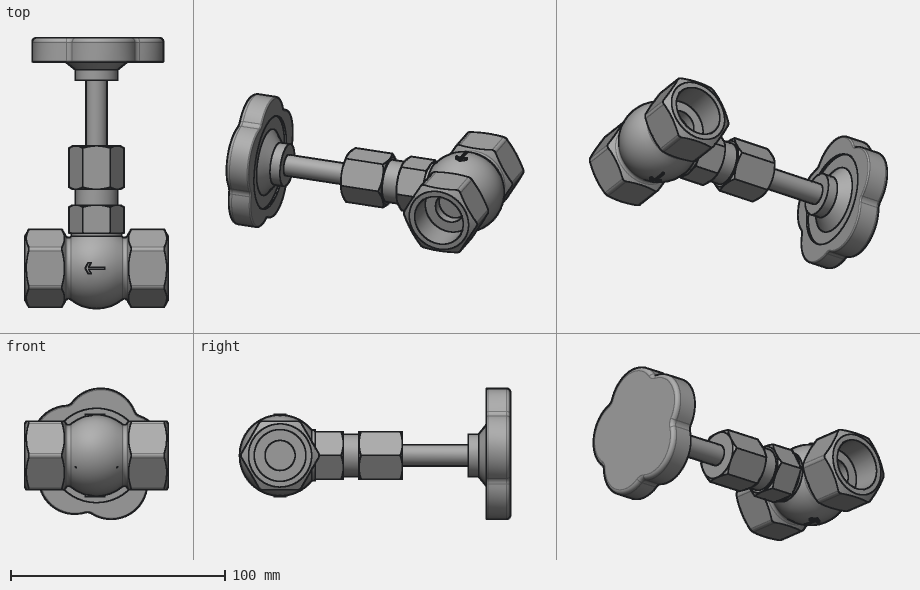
import cadquery as cq
import math


BODY_LENGTH = 67.0
SPHERE_RADIUS = 19.0
GROOVE_RADIUS = 14.3
GROOVE_FILLET = 1.5
NECK_OVERLAP = 1.3

HEX_CHAMFER_ANGLE = 30.0
HEX_HALF_SECTOR = 30.0

PIPE_HEX_FLATS = 32.1
PIPE_HEX_EDGE_FILLET = 2.1
PIPE_HEX_FACE_DIAMETER = 29.5
BORE_DIAMETER = 24.1
BORE_DEPTH = 14.4
PASSAGE_DIAMETER = 14.0
PASSAGE_DEPTH = 5.0

ARROW_TOP = 19.2
ARROW_ROOT = 16.4
ARROW_TIP_X = -5.3
ARROW_TAIL_X = 3.8
ARROW_BARB_LENGTH = 1.5
ARROW_BARB_WIDTH = 1.4
ARROW_HALF_SPAN = 2.7
ARROW_SHAFT_HALF_WIDTH = 0.4

COLLAR_DIAMETER = 23.8
BONNET_HEX_FLATS = 22.2
BONNET_HEX_FACE_DIAMETER = 22.2
BONNET_HEX_SEAT_DIAMETER = 25.0
BONNET_HEX_START = 16.3
BONNET_HEX_END = 29.5
BONNET_NECK_DIAMETER = 20.0
GLAND_NUT_START = 36.8
GLAND_NUT_END = 57.0
STEM_DIAMETER = 10.0

WHEEL_TOP = 107.5
WHEEL_THICKNESS = 11.4
LOBE_COUNT = 5
FIRST_LOBE_ANGLE = 10.0
LOBE_CENTER_RADIUS = 14.5
LOBE_RADIUS = 17.0
NOTCH_FILLET = 3.5
WHEEL_TOP_FILLET = 2.0
WHEEL_BOTTOM_FILLET = 0.6
RECESS_DIAMETER = 44.0
RECESS_DEPTH = 1.0
HUB_DIAMETER = 20.0
HUB_START = 87.6
HUB_CONE_START = 92.5
HUB_CONE_SLOPE = 1.25

WHEEL_BOTTOM = WHEEL_TOP - WHEEL_THICKNESS


def y_cylinder(diameter, start, end):
    return cq.Workplane("XZ", origin=(0, start, 0)).circle(diameter / 2).extrude(start - end)


def chamfered_hexagon(flats, length, start_diameter, end_diameter, edge_fillet=0):
    """Hexagonal prism along +Z, corners on X, with both ends turned down conically.

    The two diameters are those of the flat round faces left at the ends.
    """
    across_corners = flats / math.cos(math.radians(HEX_HALF_SECTOR))
    hexagon = cq.Workplane("XY").polygon(6, across_corners).extrude(length)
    if edge_fillet:
        hexagon = hexagon.edges("|Z").fillet(edge_fillet)

    outer_radius = across_corners / 2
    slope = math.tan(math.radians(HEX_CHAMFER_ANGLE))
    start_radius = start_diameter / 2
    end_radius = end_diameter / 2
    profile = [
        (0, 0),
        (start_radius, 0),
        (outer_radius, (outer_radius - start_radius) * slope),
        (outer_radius, length - (outer_radius - end_radius) * slope),
        (end_radius, length),
        (0, length),
    ]
    envelope = cq.Workplane("XZ").polyline(profile).close().revolve(360, (0, 0, 0), (0, 1, 0))
    return hexagon.intersect(envelope)


def body():
    """Sphere with a hexagonal pipe end on each side, joined by a rounded groove.

    The groove is an arc tangent to the sphere and to the end chamfer of the hexagon.
    """
    arc_center_r = GROOVE_RADIUS + GROOVE_FILLET
    arc_center_x = math.sqrt((SPHERE_RADIUS + GROOVE_FILLET) ** 2 - arc_center_r**2)
    sphere_share = SPHERE_RADIUS / (SPHERE_RADIUS + GROOVE_FILLET)
    sphere_end_x = arc_center_x * sphere_share
    sphere_end_r = arc_center_r * sphere_share
    chamfer_angle = math.radians(HEX_CHAMFER_ANGLE)
    hex_inner_x = arc_center_x + GROOVE_FILLET * math.cos(chamfer_angle)
    hex_inner_r = arc_center_r - GROOVE_FILLET * math.sin(chamfer_angle)
    overlap_x = hex_inner_x + NECK_OVERLAP

    shell = (
        cq.Workplane("XY")
        .moveTo(-overlap_x, 0)
        .lineTo(-overlap_x, hex_inner_r)
        .lineTo(-hex_inner_x, hex_inner_r)
        .threePointArc((-arc_center_x, GROOVE_RADIUS), (-sphere_end_x, sphere_end_r))
        .threePointArc((0, SPHERE_RADIUS), (sphere_end_x, sphere_end_r))
        .threePointArc((arc_center_x, GROOVE_RADIUS), (hex_inner_x, hex_inner_r))
        .lineTo(overlap_x, hex_inner_r)
        .lineTo(overlap_x, 0)
        .close()
        .revolve(360, (0, 0, 0), (1, 0, 0))
    )
    pipe_end = chamfered_hexagon(
        PIPE_HEX_FLATS,
        BODY_LENGTH / 2 - hex_inner_x,
        2 * hex_inner_r,
        PIPE_HEX_FACE_DIAMETER,
        PIPE_HEX_EDGE_FILLET,
    )
    pipe_end = (
        pipe_end.rotate((0, 0, 0), (0, 0, 1), 90)
        .rotate((0, 0, 0), (0, 1, 0), 90)
        .translate((hex_inner_x, 0, 0))
    )
    return shell.union(pipe_end).union(pipe_end.mirror("YZ"))


def pipe_bore():
    """Socket and narrower passage at the +X end."""
    half_length = BODY_LENGTH / 2
    socket = (
        cq.Workplane("YZ", origin=(half_length, 0, 0))
        .circle(BORE_DIAMETER / 2)
        .extrude(-BORE_DEPTH)
    )
    passage = (
        cq.Workplane("YZ", origin=(half_length - BORE_DEPTH, 0, 0))
        .circle(PASSAGE_DIAMETER / 2)
        .extrude(-PASSAGE_DEPTH)
    )
    return socket.union(passage)


def flow_arrow():
    """Raised arrow on the +Z side, rooted inside the sphere."""
    barb_x = ARROW_TIP_X + ARROW_BARB_LENGTH
    root_x = ARROW_TIP_X + ARROW_BARB_WIDTH
    root_x += ARROW_BARB_LENGTH * ARROW_SHAFT_HALF_WIDTH / ARROW_HALF_SPAN
    upper_half = [
        (barb_x, ARROW_HALF_SPAN),
        (barb_x + ARROW_BARB_WIDTH, ARROW_HALF_SPAN),
        (root_x, ARROW_SHAFT_HALF_WIDTH),
        (ARROW_TAIL_X, ARROW_SHAFT_HALF_WIDTH),
    ]
    lower_half = [(x, -y) for x, y in reversed(upper_half)]
    outline = [(ARROW_TIP_X, 0)] + upper_half + lower_half
    return (
        cq.Workplane("XY", origin=(0, 0, ARROW_ROOT))
        .polyline(outline)
        .close()
        .extrude(ARROW_TOP - ARROW_ROOT)
    )


def bonnet_hexagon(start, end, start_diameter):
    hexagon = chamfered_hexagon(BONNET_HEX_FLATS, end - start, start_diameter, BONNET_HEX_FACE_DIAMETER)
    return hexagon.rotate((0, 0, 0), (1, 0, 0), -90).translate((0, start, 0))


def bonnet():
    return (
        y_cylinder(COLLAR_DIAMETER, 0, BONNET_HEX_START)
        .union(bonnet_hexagon(BONNET_HEX_START, BONNET_HEX_END, BONNET_HEX_SEAT_DIAMETER))
        .union(y_cylinder(BONNET_NECK_DIAMETER, BONNET_HEX_END, GLAND_NUT_START))
        .union(bonnet_hexagon(GLAND_NUT_START, GLAND_NUT_END, BONNET_HEX_FACE_DIAMETER))
        .union(y_cylinder(STEM_DIAMETER, GLAND_NUT_END, HUB_START))
    )


def wheel_rim():
    """Five overlapping round lobes with rounded notches and a shallow recess underneath."""
    rim = None
    for index in range(LOBE_COUNT):
        angle = math.radians(FIRST_LOBE_ANGLE + index * 360 / LOBE_COUNT)
        lobe = (
            cq.Workplane("XZ", origin=(0, WHEEL_TOP, 0))
            .center(LOBE_CENTER_RADIUS * math.cos(angle), LOBE_CENTER_RADIUS * math.sin(angle))
            .circle(LOBE_RADIUS)
            .extrude(WHEEL_THICKNESS)
        )
        rim = lobe if rim is None else rim.union(lobe)
    rim = rim.edges("|Y").fillet(NOTCH_FILLET)
    rim = rim.faces(">Y").edges().fillet(WHEEL_TOP_FILLET)
    rim = rim.faces("<Y").edges().fillet(WHEEL_BOTTOM_FILLET)
    return rim.cut(y_cylinder(RECESS_DIAMETER, WHEEL_BOTTOM, WHEEL_BOTTOM + RECESS_DEPTH))


def wheel_hub():
    """Round hub that flares out conically to the recessed underside of the wheel."""
    hub_radius = HUB_DIAMETER / 2
    recess_y = WHEEL_BOTTOM + RECESS_DEPTH
    flare_radius = hub_radius + HUB_CONE_SLOPE * (recess_y - HUB_CONE_START)
    profile = [
        (0, HUB_START),
        (hub_radius, HUB_START),
        (hub_radius, HUB_CONE_START),
        (flare_radius, recess_y),
        (0, recess_y),
    ]
    return cq.Workplane("XY").polyline(profile).close().revolve(360, (0, 0, 0), (0, 1, 0))


bore = pipe_bore()
arrow = flow_arrow()

result = body().union(bonnet()).union(arrow).union(arrow.mirror("XY"))
result = result.cut(bore).cut(bore.mirror("YZ"))
result = result.union(wheel_rim()).union(wheel_hub())